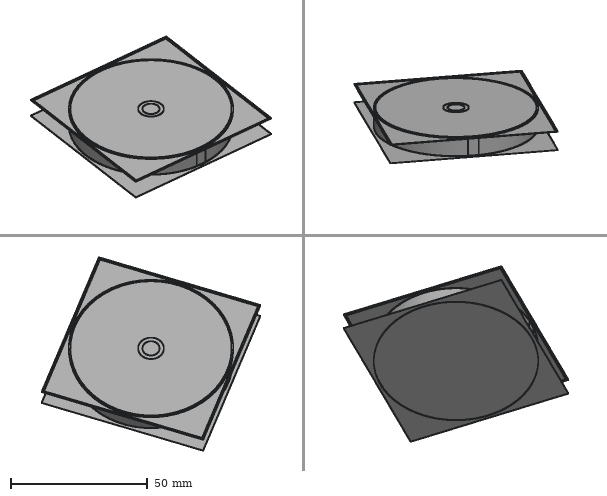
import cadquery as cq

plate_side = 62.9
total_height = 7.6
plate_thickness = 0.1
rim_projection = 0.1

drum_radius = 30.2
pad_side = 61.55
pad_thickness = 0.1

recess_radius = 29.6
hub_radius = 4.7
hub_recess_radius = 3.15
relief_depth = 0.1

notch_width = 4.0
notch_depth = 0.1

lower_plate_bottom = rim_projection
lower_plate_top = lower_plate_bottom + plate_thickness
upper_plate_bottom = total_height - rim_projection - plate_thickness
pad_bottom = upper_plate_bottom - pad_thickness


def disc(radius, bottom, height):
    """Solid disc on the drum axis."""
    return cq.Workplane("XY").workplane(offset=bottom).circle(radius).extrude(height)


def square_sheet(side, bottom, thickness):
    """Thin square sheet centred on the drum axis."""
    sheet = cq.Workplane("XY").workplane(offset=bottom)
    return sheet.rect(side, side).extrude(thickness)


def top_relief():
    """Recess inside the rim, leaving a hub ring at rim height."""
    bottom = total_height - relief_depth
    recess = disc(recess_radius, bottom, relief_depth)
    hub = disc(hub_radius, bottom, relief_depth)
    hub_recess = disc(hub_recess_radius, bottom, relief_depth)
    return recess.cut(hub).union(hub_recess)


def wall_notches():
    """Curved-floor cutters on both X sides, from the lower plate to the pad."""
    height = pad_bottom - lower_plate_top
    band = disc(drum_radius, lower_plate_top, height)
    band = band.cut(disc(drum_radius - notch_depth, lower_plate_top, height))
    strip = (
        cq.Workplane("XY")
        .workplane(offset=lower_plate_top)
        .rect(plate_side, notch_width)
        .extrude(height)
    )
    return band.intersect(strip)


drum = disc(drum_radius, 0, total_height)
body = drum.union(square_sheet(pad_side, pad_bottom, pad_thickness))
for plate_bottom in (lower_plate_bottom, upper_plate_bottom):
    body = body.union(square_sheet(plate_side, plate_bottom, plate_thickness))

result = body.cut(top_relief()).cut(wall_notches())